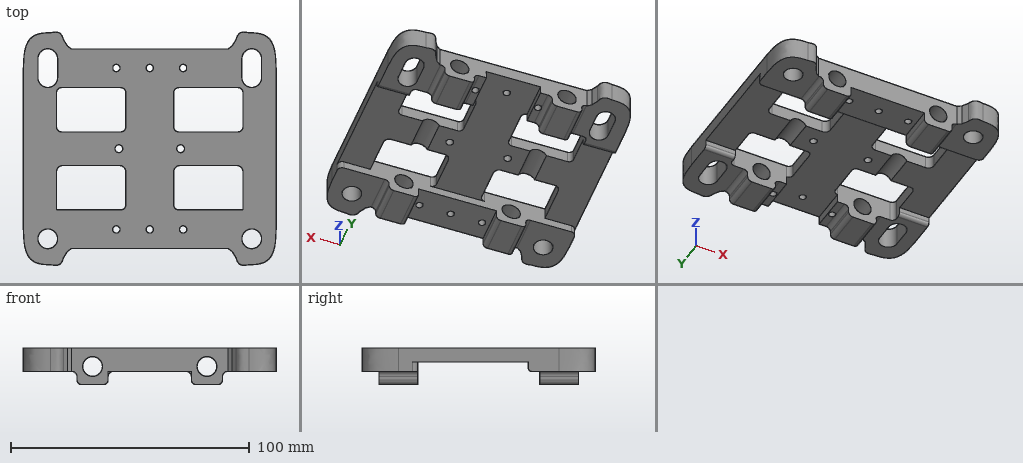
import cadquery as cq

half_length = 53.0
edge_y = 41.9
plate_thickness = 10.0
web_thickness = 6.0
total_height = 15.5

ear_side_start_y = 33.6
ear_side_pull = (half_length, 46.3)
ear_top_pull = (49.5, 48.7)
ear_tip_start = (41.5, 48.7)
ear_tip_pull = (39.2, 49.1)
ear_shoulder_pull = (37.1, 49.4)
ear_neck = (36.1, 45.8)
ear_root_x = 34.6
ear_root_y = 43.1
edge_end_x = 32.9

mount_diameter = 8.2
mount_x = 42.7
mount_y = 37.7
slot_travel = 8.0

row_hole_diameter = 3.0
row_hole_pitch = 14.0
row_hole_y = 33.8
centre_hole_diameter = 3.2
centre_hole_x = 12.9

window_inner_x = 10.1
window_outer_x = 39.0
window_inner_y = 7.1
window_outer_y = 25.5
window_radius = 2.0
front_window_radius = 2.5

bore_diameter = 8.2
bore_x = 24.0
bore_depth_below_top = 7.8
lug_width = 13.1
lug_radius = 2.0

recess_back_y = 20.7
recess_corner_radius = 2.2
pad_edge_radius = 1.6
channel_half_width = window_inner_x + window_radius


def prism(profile, depth):
    """Closed profile extruded down from the top face."""
    return profile.extrude(-depth)


def plate_quarter():
    """The +X +Y quarter of the plate with its ear."""
    profile = (
        cq.Workplane("XY")
        .lineTo(half_length, 0)
        .lineTo(half_length, ear_side_start_y)
        .bezier([ear_side_pull, ear_top_pull, ear_tip_start], includeCurrent=True)
        .bezier([ear_tip_pull, ear_shoulder_pull, ear_neck], includeCurrent=True)
        .lineTo(ear_root_x, ear_root_y)
        .lineTo(edge_end_x, edge_y)
        .lineTo(0, edge_y)
        .close()
    )
    return prism(profile, plate_thickness)


def plate():
    half = plate_quarter()
    half = half.union(half.mirror("YZ"))
    return half.union(half.mirror("XZ")).clean()


def vertical_holes():
    """Round mounting holes in front, slots at the back, and the small holes."""
    mounts = [(-mount_x, -mount_y), (mount_x, -mount_y)]
    slot_y = mount_y - slot_travel / 2
    slots = [(-mount_x, slot_y), (mount_x, slot_y)]
    rows = [(i * row_hole_pitch, y) for i in (-1, 0, 1) for y in (-row_hole_y, row_hole_y)]
    centres = [(-centre_hole_x, 0), (centre_hole_x, 0)]

    top = cq.Workplane("XY")
    return (
        prism(top.pushPoints(mounts).circle(mount_diameter / 2), plate_thickness)
        .union(prism(top.pushPoints(slots).slot2D(slot_travel + mount_diameter, mount_diameter, 90),
                     plate_thickness))
        .union(prism(top.pushPoints(rows).circle(row_hole_diameter / 2), plate_thickness))
        .union(prism(top.pushPoints(centres).circle(centre_hole_diameter / 2), plate_thickness))
    )


def windows():
    """Four windows; the outer front corners of the front pair stay sharp."""
    centre_x = (window_inner_x + window_outer_x) / 2
    centre_y = (window_inner_y + window_outer_y) / 2
    blank = prism(
        cq.Workplane("XY").rect(window_outer_x - window_inner_x, window_outer_y - window_inner_y),
        plate_thickness,
    )
    back_right = blank.edges("|Z").fillet(window_radius).translate((centre_x, centre_y, 0))
    front_right = (
        blank.edges("|Z and >Y").fillet(front_window_radius)
        .edges("|Z and <X and <Y").fillet(window_radius)
        .translate((centre_x, -centre_y, 0))
    )
    right = back_right.union(front_right)
    return right.union(right.mirror("YZ"))


def recess():
    """Underside pocket that leaves the web, with a middle channel out to the back edge."""
    right = (
        cq.Workplane("XY", origin=(0, 0, -web_thickness))
        .moveTo(0, edge_y)
        .lineTo(channel_half_width, edge_y)
        .lineTo(channel_half_width, window_outer_y)
        .lineTo(window_outer_x - window_radius, window_outer_y)
        .radiusArc((window_outer_x, window_outer_y - window_radius), window_radius)
        .lineTo(window_outer_x, recess_back_y)
        .lineTo(half_length, recess_back_y)
        .lineTo(half_length, -window_outer_y - recess_corner_radius)
        .radiusArc((half_length - recess_corner_radius, -window_outer_y), -recess_corner_radius)
        .lineTo(0, -window_outer_y)
        .close()
        .extrude(web_thickness - plate_thickness)
    )
    return right.union(right.mirror("YZ"))


def round_pad_edges(body):
    """Round the bottom edges of the back pads where they face the recess."""
    pad_x = (window_outer_x + half_length) / 2
    for x in (-pad_x, pad_x):
        edge = cq.selectors.NearestToPointSelector((x, recess_back_y, -plate_thickness))
        body = body.edges(edge).fillet(pad_edge_radius)
    return body


def right_lug(rear_y, blend_inner_side):
    """Lug on the +X side that runs forward from rear_y, blended into the plate."""
    inner_x = bore_x - lug_width / 2
    outer_x = bore_x + lug_width / 2
    blend_z = -plate_thickness - lug_radius
    profile = (
        cq.Workplane("XZ", origin=(0, rear_y, 0))
        .moveTo(inner_x, lug_radius - total_height)
        .radiusArc((inner_x + lug_radius, -total_height), -lug_radius)
        .lineTo(outer_x - lug_radius, -total_height)
        .radiusArc((outer_x, lug_radius - total_height), -lug_radius)
        .lineTo(outer_x, blend_z)
        .radiusArc((outer_x + lug_radius, -plate_thickness), lug_radius)
        .lineTo(outer_x + lug_radius, -web_thickness)
    )
    if blend_inner_side:
        profile = (
            profile.lineTo(inner_x - lug_radius, -web_thickness)
            .lineTo(inner_x - lug_radius, -plate_thickness)
            .radiusArc((inner_x, blend_z), lug_radius)
        )
    else:
        profile = profile.lineTo(inner_x, -web_thickness)
    return profile.close().extrude(edge_y - window_outer_y)


def lugs():
    """Four bearing lugs under the plate; only the back pair is blended on its inner side."""
    back = right_lug(edge_y, blend_inner_side=True)
    front = right_lug(-window_outer_y, blend_inner_side=False)
    right = back.union(front)
    return right.union(right.mirror("YZ"))


def rod_bores():
    """Two bores along Y that also groove the underside of the web."""
    return (
        cq.Workplane("XZ", origin=(0, edge_y, 0))
        .pushPoints([(-bore_x, -bore_depth_below_top), (bore_x, -bore_depth_below_top)])
        .circle(bore_diameter / 2)
        .extrude(2 * edge_y)
    )


body = round_pad_edges(plate().cut(recess()))
result = body.union(lugs()).cut(windows()).cut(vertical_holes()).cut(rod_bores())